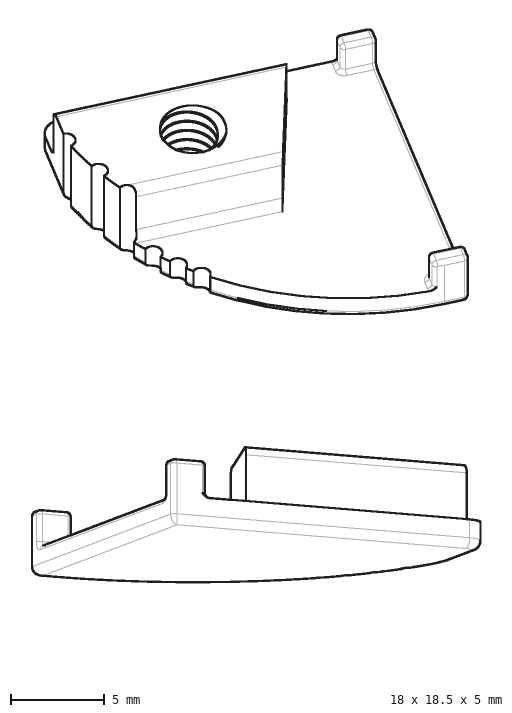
import cadquery as cq
import math

WIDTH = 18.0
LENGTH = 18.5
PLATE_HEIGHT = 1.5
BOTTOM_ROUND = 0.5
FRONT_CORNER_RADIUS = 1.0
RIM_RADIUS = 17.75
RIM_CENTER_X = WIDTH - RIM_RADIUS
RIM_CENTER_TO_BACK = 1.37
RIM_CENTER_Y = LENGTH - RIM_CENTER_TO_BACK

POST_WIDTH = 1.0
POST_LENGTH = 2.0
POST_TOP = 3.5
POST_ROUND = 0.25
TRIM_MARGIN = 1.0

BLOCK_LEFT = 2.5
BLOCK_RIGHT = 9.5
BLOCK_TOP = 5.0
BLOCK_ROUND = 0.5
BLOCK_FOOT_LEFT = BLOCK_LEFT - BLOCK_ROUND
BLOCK_FOOT_RIGHT = BLOCK_RIGHT + BLOCK_ROUND
BLOCK_BACK_LEFT_Y = 13.17
BLOCK_BACK_SLOPE = 1 / 3

GROOVE_RADIUS = 0.5
GROOVE_STEP_Y = 1.0
GROOVE_CENTERS_X = [4.83, 7.51, 9.47, 10.96, 12.2, 13.25]

HOLE_X = 6.0
HOLE_Y = 6.5
HOLE_DEPTH = 4.0
THREAD_MINOR_RADIUS = 3.09 / 2
THREAD_MAJOR_RADIUS = 4.0 / 2
THREAD_PITCH = 0.7
THREAD_FLAT = THREAD_PITCH / 8
THREAD_HALF_ANGLE = math.radians(30)
HOLE_FLOOR_RADIUS = 1.28
THREAD_OVERLAP = 0.02

OVERLAP = 0.1


def rim_x(y):
    """X of the curved edge at a given Y."""
    return RIM_CENTER_X + math.sqrt(RIM_RADIUS**2 - (y - RIM_CENTER_Y) ** 2)


def outline(height):
    """Plate outline raised from Z = 0, with all corners sharp."""
    middle_y = RIM_CENTER_Y / 2
    return (
        cq.Workplane("XY")
        .moveTo(0, 0)
        .lineTo(rim_x(0), 0)
        .threePointArc((rim_x(middle_y), middle_y), (WIDTH, RIM_CENTER_Y))
        .lineTo(WIDTH, LENGTH)
        .lineTo(0, LENGTH)
        .close()
        .extrude(height)
    )


def post_with_flare(left_x):
    """Post on an oversized slab, so its foot flares evenly; the outline trims both later."""
    post = (
        cq.Workplane("XY")
        .box(POST_WIDTH, POST_LENGTH + TRIM_MARGIN, POST_TOP, centered=False)
        .translate((left_x, LENGTH - POST_LENGTH, 0))
        .edges("|Z and <Y")
        .fillet(POST_ROUND)
        .faces(">Z")
        .edges("not >Y")
        .fillet(POST_ROUND)
    )
    slab = (
        cq.Workplane("XY")
        .box(POST_WIDTH + 2 * TRIM_MARGIN, POST_LENGTH + 2 * TRIM_MARGIN, PLATE_HEIGHT, centered=False)
        .translate((left_x - TRIM_MARGIN, LENGTH - POST_LENGTH - TRIM_MARGIN, 0))
    )
    foot = cq.selectors.BoxSelector(
        (left_x - OVERLAP, LENGTH - POST_LENGTH - OVERLAP, PLATE_HEIGHT - OVERLAP),
        (left_x + POST_WIDTH + OVERLAP, LENGTH + TRIM_MARGIN - OVERLAP, PLATE_HEIGHT + OVERLAP),
    )
    return slab.union(post).edges(foot).fillet(POST_ROUND)


def plate_with_posts():
    """Plate and posts with rounded back face, bottom edge and front corner."""
    posts = post_with_flare(0).union(post_with_flare(WIDTH - POST_WIDTH))
    body = outline(PLATE_HEIGHT).union(posts.intersect(outline(POST_TOP)))
    body = body.edges("|Z and <X and <Y").fillet(FRONT_CORNER_RADIUS)
    body = body.faces("<Z").edges().fillet(BOTTOM_ROUND)
    return body.faces(">Y").edges("not <Z").fillet(POST_ROUND)


def block():
    """Block with rounded top edges and flared feet, trimmed by the slanted back face and the rim."""
    profile = (
        cq.Workplane("XZ")
        .moveTo(BLOCK_FOOT_LEFT, PLATE_HEIGHT)
        .radiusArc((BLOCK_LEFT, PLATE_HEIGHT + BLOCK_ROUND), -BLOCK_ROUND)
        .lineTo(BLOCK_LEFT, BLOCK_TOP - BLOCK_ROUND)
        .radiusArc((BLOCK_LEFT + BLOCK_ROUND, BLOCK_TOP), BLOCK_ROUND)
        .lineTo(BLOCK_RIGHT - BLOCK_ROUND, BLOCK_TOP)
        .radiusArc((BLOCK_RIGHT, BLOCK_TOP - BLOCK_ROUND), BLOCK_ROUND)
        .lineTo(BLOCK_RIGHT, PLATE_HEIGHT + BLOCK_ROUND)
        .radiusArc((BLOCK_FOOT_RIGHT, PLATE_HEIGHT), -BLOCK_ROUND)
        .lineTo(BLOCK_FOOT_RIGHT, BOTTOM_ROUND)
        .lineTo(BLOCK_FOOT_LEFT, BOTTOM_ROUND)
        .close()
        .extrude(-LENGTH)
    )
    back_right_y = BLOCK_BACK_LEFT_Y - (BLOCK_FOOT_RIGHT - BLOCK_FOOT_LEFT) * BLOCK_BACK_SLOPE
    footprint = (
        cq.Workplane("XY")
        .polyline(
            [
                (BLOCK_FOOT_LEFT, 0),
                (BLOCK_FOOT_RIGHT, 0),
                (BLOCK_FOOT_RIGHT, back_right_y),
                (BLOCK_FOOT_LEFT, BLOCK_BACK_LEFT_Y),
            ]
        )
        .close()
        .extrude(BLOCK_TOP)
    )
    return profile.intersect(footprint).intersect(outline(BLOCK_TOP))


def grip_grooves():
    """Vertical round grooves spread along the curved edge."""
    centers = [(x, i * GROOVE_STEP_Y) for i, x in enumerate(GROOVE_CENTERS_X)]
    return cq.Workplane("XY").pushPoints(centers).circle(GROOVE_RADIUS).extrude(BLOCK_TOP)


def threaded_hole():
    """Cutting shape of the thread: bore plus helical groove, tapered at the floor."""
    floor_z = BLOCK_TOP - HOLE_DEPTH
    taper = THREAD_MAJOR_RADIUS - HOLE_FLOOR_RADIUS
    envelope = (
        cq.Workplane("XY")
        .circle(THREAD_MAJOR_RADIUS + OVERLAP)
        .extrude(HOLE_DEPTH + OVERLAP)
        .faces("<Z")
        .chamfer(taper + OVERLAP)
    )
    bore = cq.Workplane("XY").circle(THREAD_MINOR_RADIUS).extrude(HOLE_DEPTH + OVERLAP)

    turns = math.ceil(HOLE_DEPTH / THREAD_PITCH) + 1
    start_z = HOLE_DEPTH - turns * THREAD_PITCH
    inner_radius = THREAD_MINOR_RADIUS - THREAD_OVERLAP
    root_half = THREAD_FLAT / 2
    mouth_half = root_half + (THREAD_MAJOR_RADIUS - inner_radius) * math.tan(THREAD_HALF_ANGLE)
    helix = cq.Wire.makeHelix(THREAD_PITCH, (turns + 1) * THREAD_PITCH, THREAD_MINOR_RADIUS)
    groove = (
        cq.Workplane("XZ")
        .polyline(
            [
                (inner_radius, -mouth_half),
                (THREAD_MAJOR_RADIUS, -root_half),
                (THREAD_MAJOR_RADIUS, root_half),
                (inner_radius, mouth_half),
            ]
        )
        .close()
        .sweep(cq.Workplane(helix), isFrenet=True)
        .translate((0, 0, start_z))
        .rotate((0, 0, 0), (0, 0, 1), 90)
    )
    return bore.union(groove).intersect(envelope).translate((HOLE_X, HOLE_Y, floor_z))


result = plate_with_posts().union(block()).cut(grip_grooves()).cut(threaded_hole())